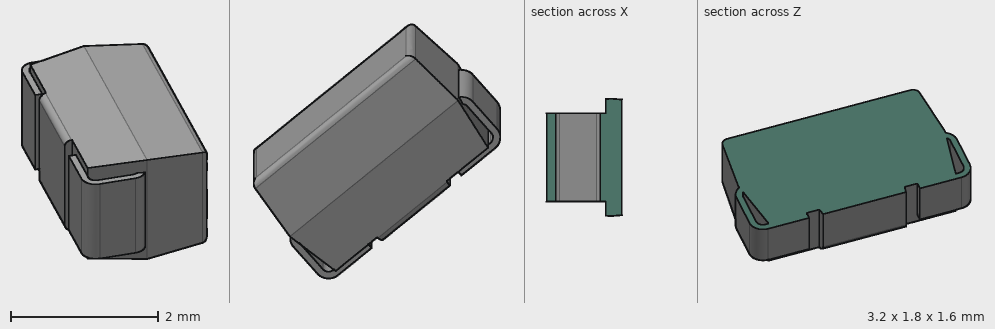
import cadquery as cq
import math

length = 3.2
depth = 1.8
height = 1.6

metal = 0.1
body_length = length - 2 * metal
parting_y = depth / 2
side_draft = 5.0
lead_end_draft = 10.0
edge_radius = 0.1

pad_length = 1.24

lead_width = 1.203
lead_foot = 0.8
lead_inner_radius = 0.1
lead_outer_radius = lead_inner_radius + metal
lead_embed = 0.225


def inset(distance, draft):
    """Amount one side moves inwards over a distance at a draft angle in degrees."""
    return distance * math.tan(math.radians(draft))


def tapered_block(y_start, y_end, x_size, z_size, x_draft, z_draft):
    """Rectangular frustum along Y, with the given sizes at y_start."""
    run = abs(y_end - y_start)
    x_end = x_size - 2 * inset(run, x_draft)
    z_end = z_size - 2 * inset(run, z_draft)
    return (
        cq.Workplane("XZ", origin=(0, y_start, 0))
        .rect(x_size, z_size)
        .workplane(offset=y_start - y_end)
        .rect(x_end, z_end)
        .loft(ruled=True)
    )


def make_body():
    back = tapered_block(parting_y, depth, body_length, height, side_draft, side_draft)
    back = back.faces(">Y").edges().fillet(edge_radius)
    front = tapered_block(parting_y, metal, body_length, height, lead_end_draft, side_draft)
    return back.union(front)


def make_pad():
    """Pad continuing the body's top and bottom slopes, rounded along its long edges.

    It starts at the parting plane so that the rounding has room to run out.
    """
    buried_length = pad_length + 2 * inset(parting_y - metal, lead_end_draft)
    pad = tapered_block(parting_y, 0, buried_length, height, lead_end_draft, side_draft)
    return pad.faces("<Y").edges("|X").fillet(edge_radius)


def make_right_lead():
    x_outer = length / 2
    x_inner = x_outer - metal
    x_foot = x_outer - lead_foot
    x_arm = x_inner - lead_embed
    profile = (
        cq.Workplane("XY", origin=(0, 0, -lead_width / 2))
        .moveTo(x_foot, 0)
        .lineTo(x_outer - lead_outer_radius, 0)
        .radiusArc((x_outer, lead_outer_radius), -lead_outer_radius)
        .lineTo(x_outer, parting_y - lead_outer_radius)
        .radiusArc((x_outer - lead_outer_radius, parting_y), -lead_outer_radius)
        .lineTo(x_arm, parting_y)
        .lineTo(x_arm, parting_y - metal)
        .lineTo(x_inner - lead_inner_radius, parting_y - metal)
        .radiusArc((x_inner, parting_y - lead_outer_radius), lead_inner_radius)
        .lineTo(x_inner, lead_outer_radius)
        .radiusArc((x_inner - lead_inner_radius, metal), lead_inner_radius)
        .lineTo(x_foot, metal)
        .close()
    )
    return profile.extrude(lead_width)


right_lead = make_right_lead()
left_lead = right_lead.mirror("YZ")
result = make_body().union(make_pad()).union(right_lead).union(left_lead)